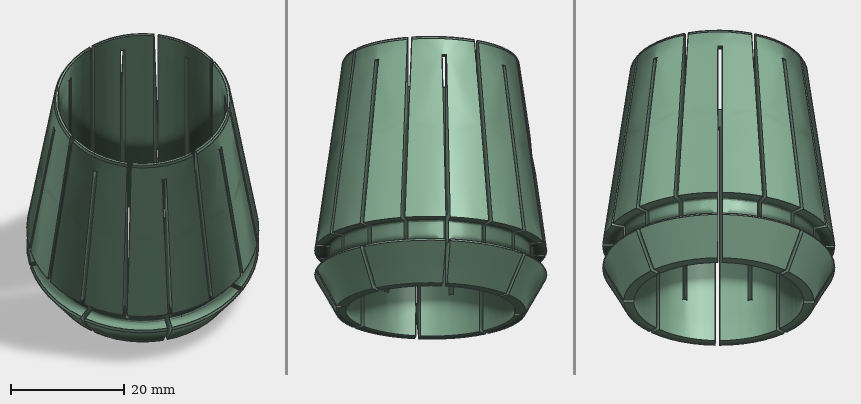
import cadquery as cq
import math

height = 46.0
flange_edge_z = 6.7
groove_bottom_z = 7.15
groove_top_z = 11.15

bore_radius = 15.0
base_radius = 16.8
groove_radius = 18.12
outer_diameter = 41.0
outer_radius = outer_diameter / 2

taper_angle = 8.0
top_chamfer_height = 0.45
top_chamfer_width = 0.2
flange_chamfer_width = 0.28

groove_fillet = 0.2

slots_per_end = 8
slot_width = 0.8
lower_slot_top_z = 42.45
upper_slot_bottom_z = 7.55

slot_pitch = 360 / slots_per_end
cut_clearance = 0.45


def cone_radius(z):
    """Outer radius of the clamping cone at height z."""
    return outer_radius - (z - groove_top_z) * math.tan(math.radians(taper_angle))


def turned_body():
    """Revolved wall: nose cone, flange, nut groove and long clamping cone around a plain bore."""
    chamfer_z = height - top_chamfer_height
    return (
        cq.Workplane("XZ")
        .moveTo(bore_radius, 0)
        .lineTo(base_radius, 0)
        .lineTo(outer_radius, flange_edge_z)
        .lineTo(outer_radius - flange_chamfer_width, groove_bottom_z)
        .lineTo(groove_radius + groove_fillet, groove_bottom_z)
        .radiusArc((groove_radius, groove_bottom_z + groove_fillet), groove_fillet)
        .lineTo(groove_radius, groove_top_z - groove_fillet)
        .radiusArc((groove_radius + groove_fillet, groove_top_z), groove_fillet)
        .lineTo(outer_radius, groove_top_z)
        .lineTo(cone_radius(chamfer_z), chamfer_z)
        .lineTo(cone_radius(height) - top_chamfer_width, height)
        .lineTo(bore_radius, height)
        .close()
        .revolve(360, (0, 0, 0), (0, 1, 0))
    )


def cut_slots(body, start_angle, bottom_z, top_z):
    """Cut one evenly spaced set of radial slots through the wall between two heights."""
    blade = (
        cq.Workplane("XY")
        .box(outer_radius + cut_clearance, slot_width, top_z - bottom_z, centered=(False, True, False))
        .translate((0, 0, bottom_z))
    )
    for index in range(slots_per_end):
        angle = start_angle + index * slot_pitch
        body = body.cut(blade.rotate((0, 0, 0), (0, 0, 1), angle))
    return body


collet = turned_body()
collet = cut_slots(collet, 0, -cut_clearance, lower_slot_top_z)
collet = cut_slots(collet, slot_pitch / 2, upper_slot_bottom_z, height + cut_clearance)

result = collet